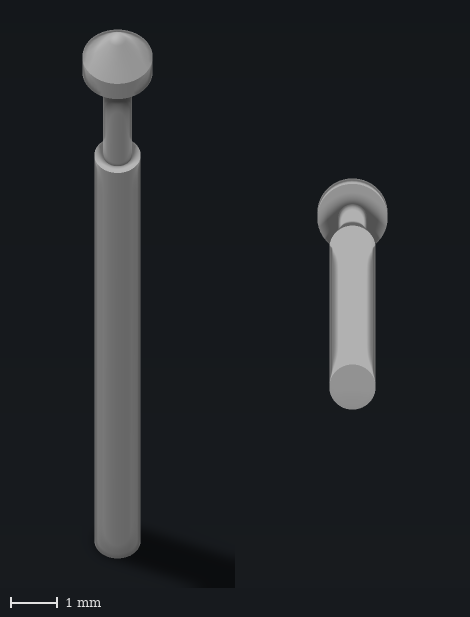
import cadquery as cq

total_length = 17.1
barrel_diameter = 1.0
barrel_length = 13.0
stem_diameter = 0.62
head_diameter = 1.5
head_rim_height = 0.51
tip_height = 0.79

head_radius = head_diameter / 2
stem_radius = stem_diameter / 2
rim_top = total_length - tip_height
rim_bottom = rim_top - head_rim_height


def make_barrel():
    """Plain cylindrical barrel whose top face carries the plunger."""
    return cq.Workplane("XY").circle(barrel_diameter / 2).extrude(barrel_length)


def make_plunger():
    """Stem, head rim and pointed tip, revolved about Z as one body."""
    half_profile = (
        cq.Workplane("XZ")
        .moveTo(0, barrel_length)
        .lineTo(stem_radius, barrel_length)
        .lineTo(stem_radius, rim_bottom)
        .lineTo(head_radius, rim_bottom)
        .lineTo(head_radius, rim_top)
        .lineTo(0, total_length)
        .close()
    )
    return half_profile.revolve(360, (0, 0), (0, 1))


barrel = make_barrel()
plunger = make_plunger()

result = cq.Compound.makeCompound([barrel.val(), plunger.val()])